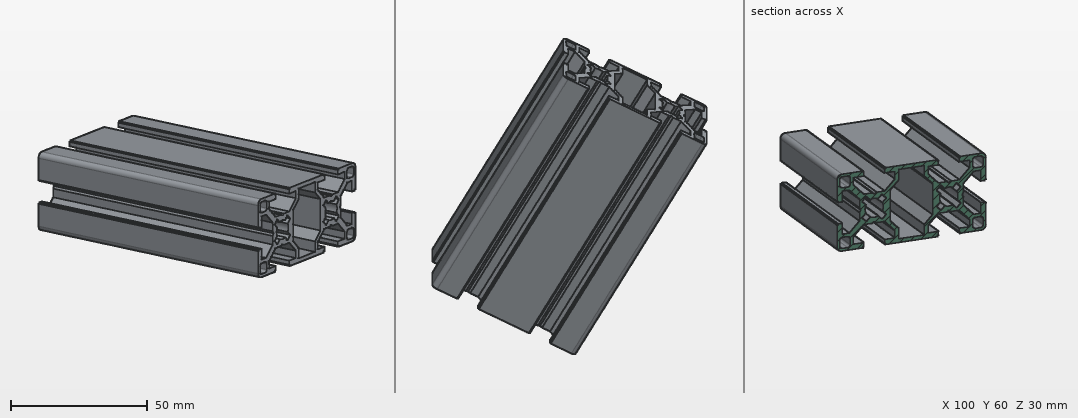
import cadquery as cq
import math

length = 100.0
cell = 30.0
half_cell = cell / 2
cell_centers = (-half_cell, half_cell)
corner_radius = 2.0

slot_half_width = 4.1
lip_step_width = 0.4
lip_step_depth = 0.5
lip_thickness = 2.2
slot_inner_half_width = 8.25
slot_shoulder_height = 10.05
slot_floor_height = 6.0
floor_groove_half_width = 0.9
floor_groove_depth = 0.5

corner_hole_size = 4.1
corner_hole_wall = 1.2
corner_hole_radius = 1.0

bore_radius = 3.6
bore_slot_width = 2.3
bore_slot_reach = 5.6

cavity_half_width = 8.4
cavity_neck_half_width = 5.05
cavity_half_height = 13.35
cavity_side_half_height = 6.0

section_plane = cq.Workplane("YZ").workplane(offset=-length / 2)


def mirror_image(right_points):
    """Points reflected about the local vertical axis, in reverse order."""
    return [(-u, v) for u, v in reversed(right_points)]


def make_blank():
    blank = cq.Workplane("XY").box(length, 2 * cell, cell)
    return blank.edges("|X").fillet(corner_radius)


def make_slot(center_y, angle):
    """T-slot cutter of one cell; angle 0 opens toward +Z."""
    flank_run = slot_shoulder_height - slot_floor_height
    right_points = [
        (slot_half_width + lip_step_width, half_cell),
        (slot_half_width + lip_step_width, half_cell - lip_step_depth),
        (slot_half_width, half_cell - lip_step_depth),
        (slot_half_width, half_cell - lip_thickness),
        (slot_inner_half_width, half_cell - lip_thickness),
        (slot_inner_half_width, slot_shoulder_height),
        (slot_inner_half_width - flank_run, slot_floor_height),
        (floor_groove_half_width, slot_floor_height),
    ]
    groove_bottom = (0, slot_floor_height - floor_groove_depth)
    outline = right_points + [groove_bottom] + mirror_image(right_points)
    cutter = section_plane.polyline(outline).close().extrude(length)
    return cutter.rotate((0, 0, 0), (1, 0, 0), angle).translate((0, center_y, 0))


def make_bore(center_y):
    """Round bore crossed by two diagonal slots."""
    bore = section_plane.circle(bore_radius).extrude(length)
    for angle in (45, 135):
        slot = cq.Workplane("XY").box(length, 2 * bore_slot_reach, bore_slot_width)
        bore = bore.union(slot.rotate((0, 0, 0), (1, 0, 0), angle))
    return bore.translate((0, center_y, 0))


def make_corner_holes():
    offset = corner_hole_wall + corner_hole_size / 2
    hole_y = cell - offset
    hole_z = half_cell - offset
    positions = [(y, z) for y in (-hole_y, hole_y) for z in (-hole_z, hole_z)]
    holes = section_plane.pushPoints(positions).rect(corner_hole_size, corner_hole_size).extrude(length)
    return holes.edges("|X").fillet(corner_hole_radius)


def make_cavity():
    neck_start = cavity_side_half_height + cavity_half_width - cavity_neck_half_width
    upper_right = [
        (cavity_half_width, cavity_side_half_height),
        (cavity_neck_half_width, neck_start),
        (cavity_neck_half_width, cavity_half_height),
    ]
    lower_right = [(u, -v) for u, v in reversed(upper_right)]
    right_points = lower_right + upper_right
    outline = right_points + mirror_image(right_points)
    return section_plane.polyline(outline).close().extrude(length)


result = make_blank().cut(make_cavity()).cut(make_corner_holes())
for cell_y in cell_centers:
    outward_angle = -math.copysign(90, cell_y)
    for slot_angle in (0, 180, outward_angle):
        result = result.cut(make_slot(cell_y, slot_angle))
    result = result.cut(make_bore(cell_y))